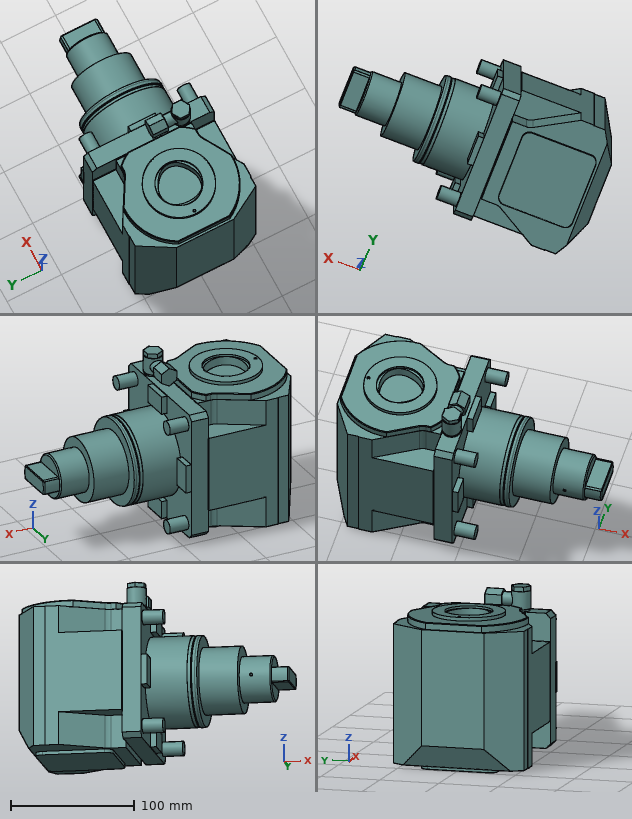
import cadquery as cq
import math


total_length = 221.0
back_x = -45.7
tip_x = back_x + total_length

body_top = 55.2
body_bottom = -60.1
body_half_width = 56.0
body_front_x = 44.0
rear_half_width = 26.3
rear_bevel_length = 17.0
relief_half_width = 55.5
relief_end_x = -19.2
lower_bevel_x = 11.3
lower_bevel_z = 19.2

waist_half_width = 34.7
waist_start_x = -7.7
waist_angle = 30.0
waist_fillet = 10.0
band_half_height = 33.0

cover_radius = 49.7
cover_half_length = 43.8
cover_top = 61.0
cover_chamfer = 0.7
cover_inset = 0.2
ring_radius = 29.8
ring_top = 63.9
mouth_radius = 19.5
mouth_depth = 1.8
socket_depth = 9.0
socket_mean_radius = 18.1
socket_lobe_height = 0.9
socket_floor_shrink = 0.7
socket_points = 36
dimple_radius = 1.0
dimple_depth = 1.0
ring_dimple_x = -27.0

pad_half_width = 32.0
pad_corner_radius = 6.5
pad_bottom = -63.0

seam_width = 0.7
seam_depth = 0.7
flange_back_x = body_front_x + seam_width
flange_front_x = 60.1
flange_size = 112.0
flange_corner_chamfer = 4.2

bolt_offset = 45.0
bolt_radius = 6.0
bolt_end_x = 77.1
key_width = 24.8
key_end_x = 65.0
key_outer = 55.5
key_inner = 39.8

shank_radius = 37.5
shank_shoulder_x = 94.8
neck_radius = 37.1
groove_start_x = 97.5
groove_end_x = 98.3
groove_radius = 36.5
shank_end_x = 102.8
shank_end_chamfer = (1.8, 0.5)
middle_radius = 27.6
middle_end_x = 134.5
nose_radius = 19.0
nose_end_x = 160.9
nose_chamfer = 1.0
nose_dimple_x = 144.3

tongue_radius = 17.7
tongue_half_height = 6.5
tongue_end_chamfer = 1.0
tongue_edge_chamfer = 0.7
tongue_flat_half_width = 14.8
tongue_side_half_width = 16.5
tongue_side_drop = 0.7

fitting_x = 51.7
plug_y = -29.0
plug_radius = 8.0
plug_neck_radius = 7.3
plug_neck_top = 57.7
plug_body_top = 72.7
plug_top = 76.5
hex_sides = 6
hex_corner_diameter = 16.1
nut_length = 14.1
pipe_diameter = 11.3
pipe_z = 65.0


def along_x(start_x, end_x, radius):
    """Cylinder on a line parallel to the shank axis."""
    return cq.Workplane("YZ").workplane(offset=start_x).circle(radius).extrude(end_x - start_x)


def mirrored_outline(side):
    """Close an outline by mirroring its +Y side across the X axis."""
    return side + [(x, -y) for x, y in reversed(side)]


def waist_prism(bottom, top, inset=0.0):
    """Prism with the plan outline of the waist: wide at the rear, tapering to a parallel neck."""
    rear_y = body_half_width - inset
    neck_y = waist_half_width - inset
    neck_x = waist_start_x + (rear_y - neck_y) / math.tan(math.radians(waist_angle))
    side = [
        (back_x, rear_y),
        (waist_start_x, rear_y),
        (neck_x, neck_y),
        (body_front_x, neck_y),
    ]
    outline = mirrored_outline(side)
    prism = cq.Workplane("XY").workplane(offset=bottom).polyline(outline).close().extrude(top - bottom)
    neck_edges = cq.selectors.BoxSelector(
        (waist_start_x + waist_fillet, -rear_y, bottom),
        (body_front_x - waist_fillet, rear_y, top),
    )
    return prism.edges("|Z").edges(neck_edges).fillet(waist_fillet)


def make_housing():
    bevel_end_x = back_x + rear_bevel_length
    side = [
        (back_x, rear_half_width),
        (bevel_end_x, relief_half_width),
        (relief_end_x, relief_half_width),
        (relief_end_x, body_half_width),
        (body_front_x, body_half_width),
    ]
    outline = mirrored_outline(side)
    height = body_top - body_bottom
    housing = cq.Workplane("XY").workplane(offset=body_bottom).polyline(outline).close().extrude(height)

    waist = waist_prism(body_bottom, body_top)
    band = cq.Workplane("XY").box(total_length, total_length, 2 * band_half_height)
    housing = housing.intersect(waist.union(band))

    lower_bevel = (
        cq.Workplane("XZ")
        .polyline([
            (back_x, body_bottom),
            (back_x + lower_bevel_x, body_bottom),
            (back_x, body_bottom + lower_bevel_z),
        ])
        .close()
        .extrude(body_half_width, both=True)
    )
    return housing.cut(lower_bevel)


def make_cover():
    thickness = cover_top - body_top
    cover = cq.Workplane("XY").workplane(offset=body_top).circle(cover_radius).extrude(thickness)
    limits = cq.Workplane("XY").box(2 * cover_half_length, 2 * cover_radius, 4 * cover_top)
    cover = cover.intersect(limits).intersect(waist_prism(body_top, cover_top, cover_inset))
    cover = cover.faces(">Z").edges().chamfer(cover_chamfer)
    ring = cq.Workplane("XY").workplane(offset=body_top).circle(ring_radius).extrude(ring_top - body_top)
    return cover.union(ring)


def lobed_outline(mean_radius):
    """Points of a smooth three-lobed curve with one lobe toward +X."""
    points = []
    for i in range(socket_points):
        angle = 2 * math.pi * i / socket_points
        radius = mean_radius + socket_lobe_height * math.cos(3 * angle)
        points.append((radius * math.cos(angle), radius * math.sin(angle)))
    return points


def make_spindle_socket():
    mouth = cq.Workplane("XY").workplane(offset=ring_top).circle(mouth_radius).extrude(-mouth_depth)
    socket = (
        cq.Workplane("XY")
        .workplane(offset=ring_top)
        .spline(lobed_outline(socket_mean_radius), periodic=True)
        .close()
        .workplane(offset=-socket_depth)
        .spline(lobed_outline(socket_mean_radius - socket_floor_shrink), periodic=True)
        .close()
        .loft(combine=True)
    )
    dimple = (
        cq.Workplane("XY")
        .workplane(offset=ring_top)
        .center(ring_dimple_x, 0)
        .circle(dimple_radius)
        .extrude(-dimple_depth)
    )
    return mouth.union(socket).union(dimple)


def make_bottom_pad():
    return (
        cq.Workplane("XY")
        .workplane(offset=body_bottom)
        .rect(2 * pad_half_width, 2 * pad_half_width)
        .extrude(pad_bottom - body_bottom)
        .edges("|Z")
        .fillet(pad_corner_radius)
    )


def make_flange():
    flange = (
        cq.Workplane("YZ")
        .workplane(offset=flange_back_x)
        .rect(flange_size, flange_size)
        .extrude(flange_front_x - flange_back_x)
        .edges("|X")
        .chamfer(flange_corner_chamfer)
    )
    seam_sections = [
        (waist_half_width, body_top),
        (body_half_width, band_half_height),
    ]
    for half_width, half_height in seam_sections:
        seam = (
            cq.Workplane("YZ")
            .workplane(offset=body_front_x)
            .rect(2 * (half_width - seam_depth), 2 * (half_height - seam_depth))
            .extrude(seam_width)
        )
        flange = flange.union(seam)
    for y in (-bolt_offset, bolt_offset):
        for z in (-bolt_offset, bolt_offset):
            flange = flange.union(along_x(flange_front_x, bolt_end_x, bolt_radius).translate((0, y, z)))
    key = cq.Workplane("XY").box(
        key_end_x - flange_front_x, key_width, key_outer - key_inner, centered=(False, True, False)
    ).translate((flange_front_x, 0, key_inner))
    for angle in (0, 90, 180, 270):
        flange = flange.union(key.rotate((0, 0, 0), (1, 0, 0), angle))
    return flange


def make_shank():
    """Turned profile revolved about the X axis, with a dimple in the nose."""
    chamfer_length, chamfer_depth = shank_end_chamfer
    profile = [
        (flange_back_x, 0),
        (flange_back_x, shank_radius),
        (shank_shoulder_x, shank_radius),
        (shank_shoulder_x, neck_radius),
        (groove_start_x, neck_radius),
        (groove_start_x, groove_radius),
        (groove_end_x, groove_radius),
        (groove_end_x, shank_radius),
        (shank_end_x - chamfer_length, shank_radius),
        (shank_end_x, shank_radius - chamfer_depth),
        (shank_end_x, middle_radius),
        (middle_end_x, middle_radius),
        (middle_end_x, nose_radius),
        (nose_end_x - nose_chamfer, nose_radius),
        (nose_end_x, nose_radius - nose_chamfer),
        (nose_end_x, 0),
    ]
    shank = cq.Workplane("XY").polyline(profile).close().revolve(360, (0, 0, 0), (1, 0, 0))
    dimple = (
        cq.Workplane("XZ")
        .workplane(offset=nose_radius - dimple_depth)
        .center(nose_dimple_x, 0)
        .circle(dimple_radius)
        .extrude(2 * dimple_depth)
    )
    return shank.cut(dimple)


def make_tongue():
    """Flat drive tongue milled from a round end."""
    round_end = along_x(nose_end_x, tip_x, tongue_radius).faces(">X").chamfer(tongue_end_chamfer)
    side_half_height = tongue_half_height - tongue_side_drop
    upper_edge = [
        (-tongue_radius, side_half_height),
        (-tongue_side_half_width, side_half_height),
        (-tongue_flat_half_width, tongue_half_height),
        (tongue_flat_half_width, tongue_half_height),
        (tongue_side_half_width, side_half_height),
        (tongue_radius, side_half_height),
    ]
    blade_outline = upper_edge + [(y, -z) for y, z in reversed(upper_edge)]
    blade = (
        cq.Workplane("YZ")
        .workplane(offset=nose_end_x)
        .polyline(blade_outline)
        .close()
        .extrude(tip_x - nose_end_x)
        .faces(">X")
        .chamfer(tongue_edge_chamfer)
    )
    return round_end.intersect(blade)


def make_coolant_fitting():
    """Vertical plug with a hexagon cap, joined by a pipe to a horizontal hexagon nut."""

    def plug_section(bottom):
        return cq.Workplane("XY").workplane(offset=bottom).center(fitting_x, plug_y)

    neck = plug_section(body_top).circle(plug_neck_radius).extrude(plug_neck_top - body_top)
    barrel = plug_section(plug_neck_top).circle(plug_radius).extrude(plug_body_top - plug_neck_top)
    cap = (
        plug_section(plug_body_top)
        .transformed(rotate=(0, 0, 90))
        .polygon(hex_sides, hex_corner_diameter)
        .extrude(plug_top - plug_body_top)
    )
    cross_section = cq.Workplane("XZ").center(fitting_x, pipe_z)
    nut = (
        cross_section
        .transformed(rotate=(0, 0, 90))
        .polygon(hex_sides, hex_corner_diameter)
        .extrude(nut_length)
    )
    pipe = cross_section.circle(pipe_diameter / 2).extrude(-plug_y)
    return neck.union(barrel).union(cap).union(nut).union(pipe)


result = (
    make_housing()
    .union(make_cover())
    .union(make_bottom_pad())
    .union(make_flange())
    .union(make_shank())
    .union(make_tongue())
    .union(make_coolant_fitting())
    .cut(make_spindle_socket())
)